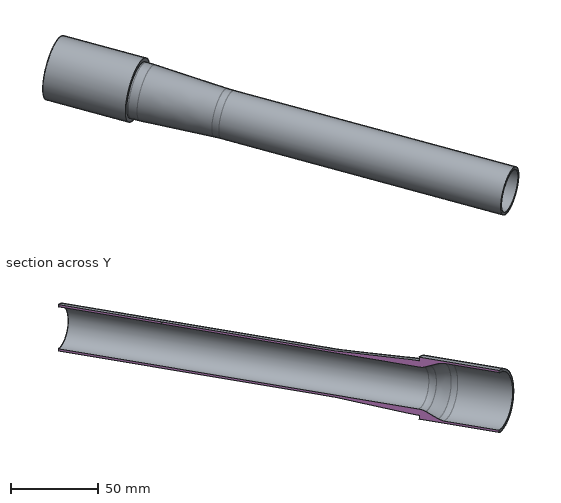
import math

import cadquery as cq

total_length = 279.4
socket_length = 50.8
taper_corner = 54.4
taper_length = 49.8

socket_diameter = 38.1
neck_diameter = 33.6
tube_diameter = 28.57

socket_bore_diameter = 34.925
shoulder_outer_diameter = 33.45
shoulder_inner_diameter = 27.1
tube_bore_diameter = 25.4

taper_entry_radius = 106.0
taper_exit_radius = 84.0
shoulder_angle = math.radians(22)


def blend_radius(large_diameter, small_diameter, angle):
    """Radius of an arc that turns by angle while the diameter drops."""
    return (large_diameter - small_diameter) / 2 / (1 - math.cos(angle))


def arc_step(arc_radius, turn):
    """Advance along X and drop in radius of an arc that leaves the X direction and turns by turn."""
    return arc_radius * math.sin(turn), arc_radius * (1 - math.cos(turn))


def taper(profile, start, entry_radius, exit_radius, angle, cone_drop):
    """Add a convex arc, a straight cone and a concave arc, all tangent, starting from an (x, radius) point."""
    start_x, start_r = start
    middle_dx, middle_dr = arc_step(entry_radius, angle / 2)
    end_dx, end_dr = arc_step(entry_radius, angle)
    cone_start_x = start_x + end_dx
    cone_start_r = start_r - end_dr
    profile = profile.threePointArc((start_x + middle_dx, start_r - middle_dr), (cone_start_x, cone_start_r))

    cone_end_x = cone_start_x + cone_drop / math.tan(angle)
    cone_end_r = cone_start_r - cone_drop
    profile = profile.lineTo(cone_end_x, cone_end_r)

    middle_dx, middle_dr = arc_step(exit_radius, angle / 2)
    end_dx, end_dr = arc_step(exit_radius, angle)
    finish_x = cone_end_x + end_dx
    finish_r = cone_end_r - end_dr
    return profile.threePointArc((finish_x - middle_dx, finish_r + middle_dr), (finish_x, finish_r))


def revolve_about_x(profile):
    """Close an (x, radius) profile along the X axis and revolve it into a solid."""
    return profile.close().revolve(360, (0, 0, 0), (1, 0, 0))


def make_outside():
    """Socket, step down to the neck, long blended taper and the straight tube."""
    drop = (neck_diameter - tube_diameter) / 2
    angle = math.atan(drop / taper_length)
    arc_drop = (taper_entry_radius + taper_exit_radius) * (1 - math.cos(angle))
    blend_start = taper_corner - taper_entry_radius * math.tan(angle / 2)
    profile = (
        cq.Workplane("XZ")
        .moveTo(0, 0)
        .lineTo(0, socket_diameter / 2)
        .lineTo(socket_length, socket_diameter / 2)
        .lineTo(socket_length, neck_diameter / 2)
        .lineTo(blend_start, neck_diameter / 2)
    )
    profile = taper(
        profile,
        (blend_start, neck_diameter / 2),
        taper_entry_radius,
        taper_exit_radius,
        angle,
        drop - arc_drop,
    )
    profile = profile.lineTo(total_length, tube_diameter / 2).lineTo(total_length, 0)
    return revolve_about_x(profile)


def make_bore():
    """Socket bore, blended conical shoulder ending level with the socket, and the through bore."""
    entry_radius = blend_radius(socket_bore_diameter, shoulder_outer_diameter, shoulder_angle)
    exit_radius = blend_radius(shoulder_inner_diameter, tube_bore_diameter, shoulder_angle)
    cone_drop = (shoulder_outer_diameter - shoulder_inner_diameter) / 2
    arc_length = (entry_radius + exit_radius) * math.sin(shoulder_angle)
    shoulder_start = socket_length - arc_length - cone_drop / math.tan(shoulder_angle)
    profile = (
        cq.Workplane("XZ")
        .moveTo(0, 0)
        .lineTo(0, socket_bore_diameter / 2)
        .lineTo(shoulder_start, socket_bore_diameter / 2)
    )
    profile = taper(
        profile,
        (shoulder_start, socket_bore_diameter / 2),
        entry_radius,
        exit_radius,
        shoulder_angle,
        cone_drop,
    )
    profile = profile.lineTo(total_length, tube_bore_diameter / 2).lineTo(total_length, 0)
    return revolve_about_x(profile)


result = make_outside().cut(make_bore())